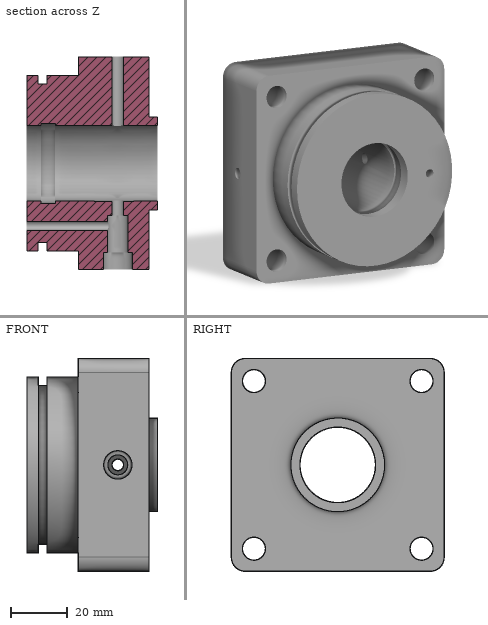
import cadquery as cq

spigot_length = 18.0
flange_thickness = 25.0
boss_length = 3.0
total_length = spigot_length + flange_thickness + boss_length

flange_size = 75.0
corner_radius = 5.0
bolt_hole_diameter = 8.0
bolt_spacing = 59.0

spigot_diameter = 62.0
seal_groove_diameter = 56.0
seal_groove_start = 4.0
seal_groove_width = 3.0

boss_diameter = 33.0

bore_diameter = 26.5
bore_groove_diameter = 28.0
bore_groove_start = 5.0
bore_groove_width = 5.0

port_x = 32.0
port_diameter = 10.0
port_depth = 6.0
port_step_diameter = 7.0
port_step_depth = 19.0
port_passage_diameter = 4.0

feed_hole_diameter = 3.0
feed_hole_offset = 22.0


def axial_cylinder(diameter, start, length):
    """Cylinder on the bore axis, running towards +X from the given start."""
    return cq.Workplane("YZ", origin=(start, 0, 0)).circle(diameter / 2).extrude(length)


def port_cylinder(diameter, depth):
    """Cylinder running from the -Y flange face towards +Y."""
    origin = (port_x, -flange_size / 2, 0)
    return cq.Workplane("XZ", origin=origin).circle(diameter / 2).extrude(-depth)


def make_flange():
    """Square flange with rounded corners and four bolt holes."""
    flange = (
        cq.Workplane("YZ", origin=(spigot_length, 0, 0))
        .rect(flange_size, flange_size)
        .extrude(flange_thickness)
        .edges("|X")
        .fillet(corner_radius)
    )
    bolt_holes = (
        cq.Workplane("YZ", origin=(spigot_length, 0, 0))
        .rect(bolt_spacing, bolt_spacing, forConstruction=True)
        .vertices()
        .circle(bolt_hole_diameter / 2)
        .extrude(flange_thickness)
    )
    return flange.cut(bolt_holes)


def make_spigot():
    """Round spigot with a seal groove around it."""
    spigot = axial_cylinder(spigot_diameter, 0, spigot_length)
    groove = axial_cylinder(spigot_diameter, seal_groove_start, seal_groove_width)
    groove_floor = axial_cylinder(seal_groove_diameter, seal_groove_start, seal_groove_width)
    return spigot.cut(groove.cut(groove_floor))


def make_boss():
    """Short round boss on the +X face of the flange."""
    return axial_cylinder(boss_diameter, spigot_length + flange_thickness, boss_length)


def make_bore():
    """Through bore with a shallow groove near the spigot end."""
    bore = axial_cylinder(bore_diameter, 0, total_length)
    return bore.union(axial_cylinder(bore_groove_diameter, bore_groove_start, bore_groove_width))


def make_cross_port():
    """Stepped port whose narrow passage crosses the whole flange."""
    port = port_cylinder(port_diameter, port_depth)
    step = port_cylinder(port_step_diameter, port_step_depth)
    passage = port_cylinder(port_passage_diameter, flange_size)
    return port.union(step).union(passage)


def make_feed_hole():
    """Axial hole from the spigot face to the centre of the cross port."""
    start = (0, -feed_hole_offset, 0)
    return cq.Workplane("YZ", origin=start).circle(feed_hole_diameter / 2).extrude(port_x)


body = make_flange().union(make_spigot()).union(make_boss())
result = body.cut(make_bore()).cut(make_cross_port()).cut(make_feed_hole())